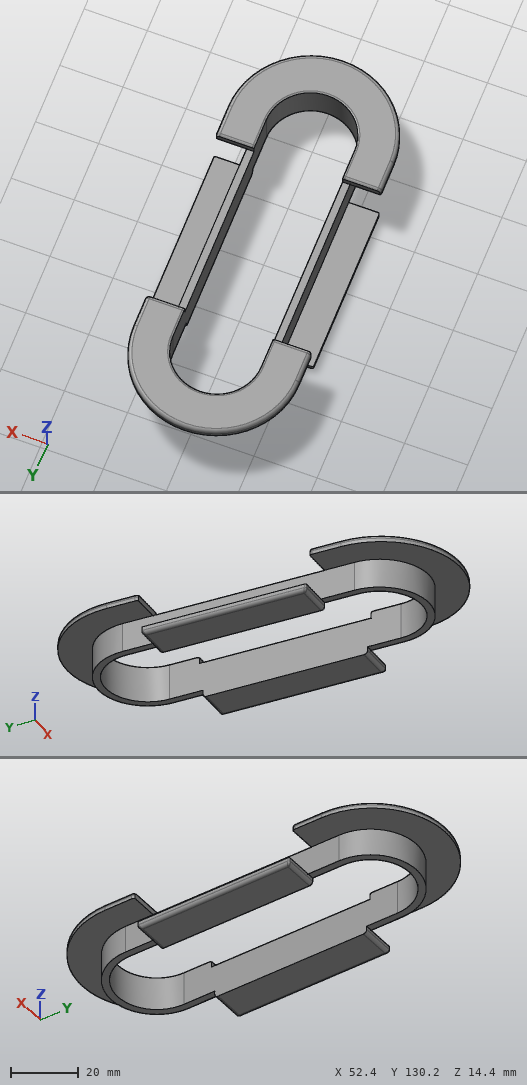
import cadquery as cq

overall_width = 52.4
overall_length = 130.18
overall_height = 14.43

wall_thickness = 2.4
inner_half_width = 14.0
outer_half_width = inner_half_width + wall_thickness
wall_arc_center = 38.4

flange_thickness = 2.4
wall_height = overall_height - 2 * flange_thickness
flange_radius = overall_width / 2
flange_arc_center = overall_length / 2 - flange_radius
end_flange_start = 28.4
side_flange_length = 54.6
side_corner_radius = 0.5
edge_radius = flange_thickness / 2

opening_trim = 0.6
end_trim = 0.3


def oval(half_width, arc_center, height):
    """Upright oval prism standing on Z = 0, with its long axis along Y."""
    length = 2 * (arc_center + half_width)
    return cq.Workplane("XY").slot2D(length, 2 * half_width, 90).extrude(height)


def flange_block(x_start, x_end, y_start, y_end):
    """Rectangular prism of flange thickness standing on Z = 0."""
    x_size = x_end - x_start
    y_size = y_end - y_start
    block = cq.Workplane("XY").box(x_size, y_size, flange_thickness, centered=False)
    return block.translate((x_start, y_start, 0))


def oval_wall():
    outer = oval(outer_half_width, wall_arc_center, wall_height)
    return outer.cut(oval(inner_half_width, wall_arc_center, wall_height))


def end_flange():
    """U-shaped flange on top of the wall at its +Y end."""
    y_end = overall_length / 2
    oversize_region = flange_block(-flange_radius, flange_radius, end_flange_start - end_trim, y_end)
    kept_region = flange_block(-flange_radius, flange_radius, end_flange_start, y_end)
    oversize = (
        oval(flange_radius, flange_arc_center, flange_thickness)
        .intersect(oversize_region)
        .cut(oval(inner_half_width - opening_trim, wall_arc_center, flange_thickness))
    )
    rounded = (
        oversize
        .edges("|Z and <Y")
        .fillet(edge_radius)
        .faces(">Z")
        .edges()
        .fillet(edge_radius)
    )
    opening = oval(inner_half_width, wall_arc_center, flange_thickness)
    return rounded.intersect(kept_region).cut(opening).translate((0, 0, wall_height))


def side_flange():
    """Straight flange under the wall on its +X side, rounded below except along the opening."""
    y_end = side_flange_length / 2
    flange = flange_block(inner_half_width, flange_radius, -y_end, y_end)
    rounded = (
        flange
        .edges("|Z and >X")
        .fillet(side_corner_radius)
        .faces(">Z")
        .edges("not <X")
        .fillet(edge_radius)
    )
    return rounded.mirror("XY")


result = oval_wall()
for flange in (end_flange(), side_flange()):
    opposite = flange.rotate((0, 0, 0), (0, 0, 1), 180)
    result = result.union(flange).union(opposite)